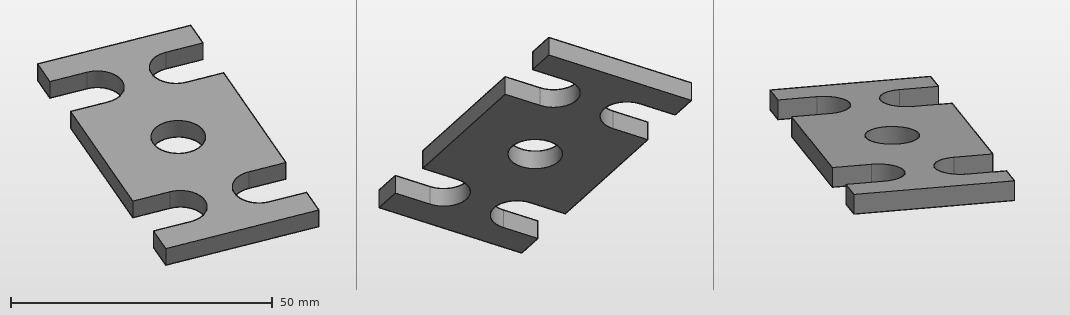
import cadquery as cq

length = 63.5
width = 31.75
thickness = 4.0

hole_diameter = 10.4

slot_width = 10.2
end_strip = 6.1
slot_web = 6.1

slot_x = length / 2 - end_strip - slot_width / 2
slot_radius = slot_width / 2
slot_depth = (width - slot_web) / 2
arc_center_y = width / 2 - slot_depth + slot_radius


def edge_slot(x_side, y_side):
    """Slot cutter running in from one long edge to a semicircular end."""
    x = x_side * slot_x
    edge_y = y_side * width / 2
    arc_y = y_side * arc_center_y
    return (
        cq.Workplane("XY")
        .moveTo(x - slot_radius, edge_y)
        .lineTo(x - slot_radius, arc_y)
        .threePointArc((x, y_side * slot_web / 2), (x + slot_radius, arc_y))
        .lineTo(x + slot_radius, edge_y)
        .close()
        .extrude(thickness)
    )


plate = cq.Workplane("XY").box(length, width, thickness, centered=(True, True, False))
plate = plate.faces(">Z").workplane().hole(hole_diameter)

for x_side in (-1, 1):
    for y_side in (-1, 1):
        plate = plate.cut(edge_slot(x_side, y_side))

result = plate